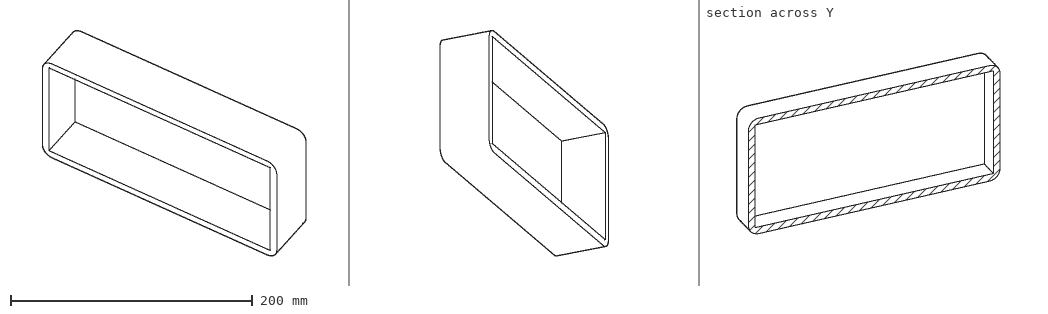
import cadquery as cq

length = 230.0
depth = 45.0
height = 110.0
corner_radius = 10.0

side_wall = 6.5
top_wall = 6.2
bottom_wall = 7.0
floor = 5.0

pocket_length = length - 2 * side_wall
pocket_height = height - top_wall - bottom_wall
pocket_depth = depth - floor
pocket_rise = (bottom_wall - top_wall) / 2


def rounded_block():
    """Block centred on the origin, with its four edges along Y rounded."""
    return cq.Workplane("XY").box(length, depth, height).edges("|Y").fillet(corner_radius)


def cut_pocket(body):
    """Hollow the block from its -Y face, leaving the floor on the +Y side."""
    return (
        body.faces("<Y")
        .workplane(origin=(0, -depth / 2, 0))
        .center(0, pocket_rise)
        .rect(pocket_length, pocket_height)
        .cutBlind(-pocket_depth)
    )


result = cut_pocket(rounded_block())